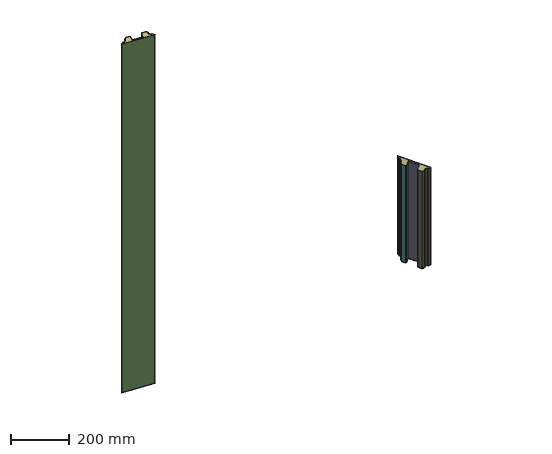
import cadquery as cq

length = 1800.0
width = 120.0
depth = 23.0

web_thickness = 5.0
channel_width = 40.0
corner_chamfer = 2.7

groove_start = 8.1
groove_end = 16.0
groove_depth = 2.7

half_width = width / 2
back_x = depth / 2
front_x = -back_x
web_front_x = back_x - web_thickness
rail_inner_y = channel_width / 2


def slope_point(distance, inset=0.0):
    """Point on the 45-degree side, moved squarely into the rail by inset."""
    return (back_x - distance + inset, half_width - distance - inset)


def half_section(side):
    """Points from the web's rail corner to the outer tip; side is +1 or -1."""
    points = [
        (web_front_x, rail_inner_y),
        (front_x + corner_chamfer, rail_inner_y),
        (front_x, rail_inner_y + corner_chamfer),
        slope_point(depth),
        slope_point(groove_end),
        slope_point(groove_end, groove_depth),
        slope_point(groove_start, groove_depth),
        slope_point(groove_start),
        slope_point(0),
    ]
    return [(x, side * y) for x, y in points]


upper_points = half_section(1)
lower_points = half_section(-1)
section = upper_points + lower_points[::-1]

result = (
    cq.Workplane("XY")
    .workplane(offset=-length / 2)
    .polyline(section)
    .close()
    .extrude(length)
)